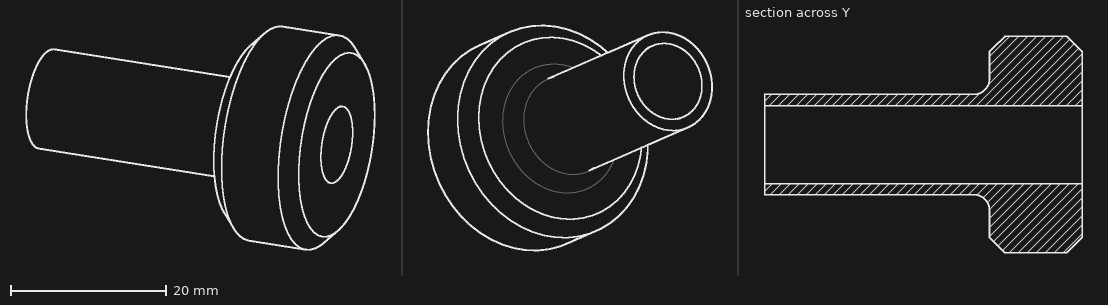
import cadquery as cq

total_length = 41.0
head_length = 12.0
head_diameter = 28.0
head_chamfer = 2.0
tube_diameter = 13.0
bore_diameter = 10.0
neck_fillet = 2.0

tube_length = total_length - head_length


def cylinder_along_x(start, length, diameter):
    """Solid cylinder on the X axis, running toward +X from start."""
    return cq.Workplane("YZ", origin=(start, 0, 0)).circle(diameter / 2).extrude(length)


head = cylinder_along_x(tube_length, head_length, head_diameter).edges().chamfer(head_chamfer)

tube = cylinder_along_x(0, tube_length, tube_diameter)
neck_edge = cq.selectors.RadiusNthSelector(0)
body = head.union(tube)
body = body.faces("<X[1]").edges(neck_edge).fillet(neck_fillet)

result = body.cut(cylinder_along_x(0, total_length, bore_diameter))